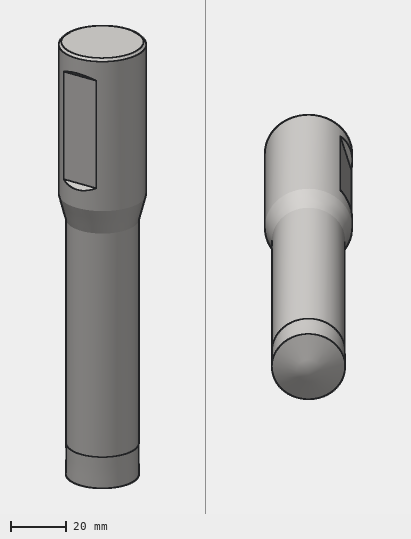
import cadquery as cq
import math

TOTAL_LENGTH = 175.0
HEAD_DIAMETER = 31.7
STEM_DIAMETER = 26.5
TIP_DIAMETER = 26.6
TIP_TOP_Z = 17.2
POINT_ANGLE = 140.0
TAPER_BOTTOM_Z = 105.2
TAPER_TOP_Z = 115.2
RIM_CHAMFER = 1.0

FLAT_DEPTH = 1.8
FLAT_BOTTOM_Z = 124.0
FLAT_TOP_Z = 166.5

HEAD_RADIUS = HEAD_DIAMETER / 2
STEM_RADIUS = STEM_DIAMETER / 2
TIP_RADIUS = TIP_DIAMETER / 2
POINT_HEIGHT = TIP_RADIUS / math.tan(math.radians(POINT_ANGLE / 2))


def revolve_profile(points):
    """Turn a closed (radius, z) outline about the Z axis."""
    return cq.Workplane("XZ").polyline(points).close().revolve(360, (0, 0), (0, 1))


def make_flat_cutter():
    """Prism that leaves a flat with ends sloping outward at 45 degrees."""
    flat_y = FLAT_DEPTH - HEAD_RADIUS
    outer_y = flat_y - 2 * FLAT_DEPTH
    end_rise = flat_y - outer_y
    return (
        cq.Workplane("YZ")
        .moveTo(flat_y, FLAT_BOTTOM_Z)
        .lineTo(flat_y, FLAT_TOP_Z)
        .lineTo(outer_y, FLAT_TOP_Z + end_rise)
        .lineTo(outer_y, FLAT_BOTTOM_Z - end_rise)
        .close()
        .extrude(HEAD_RADIUS, both=True)
    )


def make_shank():
    """Stem, tapered shoulder and chamfered head with its clamping flat."""
    turned = revolve_profile([
        (0, TIP_TOP_Z),
        (STEM_RADIUS, TIP_TOP_Z),
        (STEM_RADIUS, TAPER_BOTTOM_Z),
        (HEAD_RADIUS, TAPER_TOP_Z),
        (HEAD_RADIUS, TOTAL_LENGTH - RIM_CHAMFER),
        (HEAD_RADIUS - RIM_CHAMFER, TOTAL_LENGTH),
        (0, TOTAL_LENGTH),
    ])
    return turned.cut(make_flat_cutter())


def make_tip():
    """Conical point on a short body that narrows slightly up to the stem."""
    return revolve_profile([
        (0, 0),
        (TIP_RADIUS, POINT_HEIGHT),
        (STEM_RADIUS, TIP_TOP_Z),
        (0, TIP_TOP_Z),
    ])


shank = make_shank()
tip = make_tip()

result = cq.Compound.makeCompound([shank.val(), tip.val()])